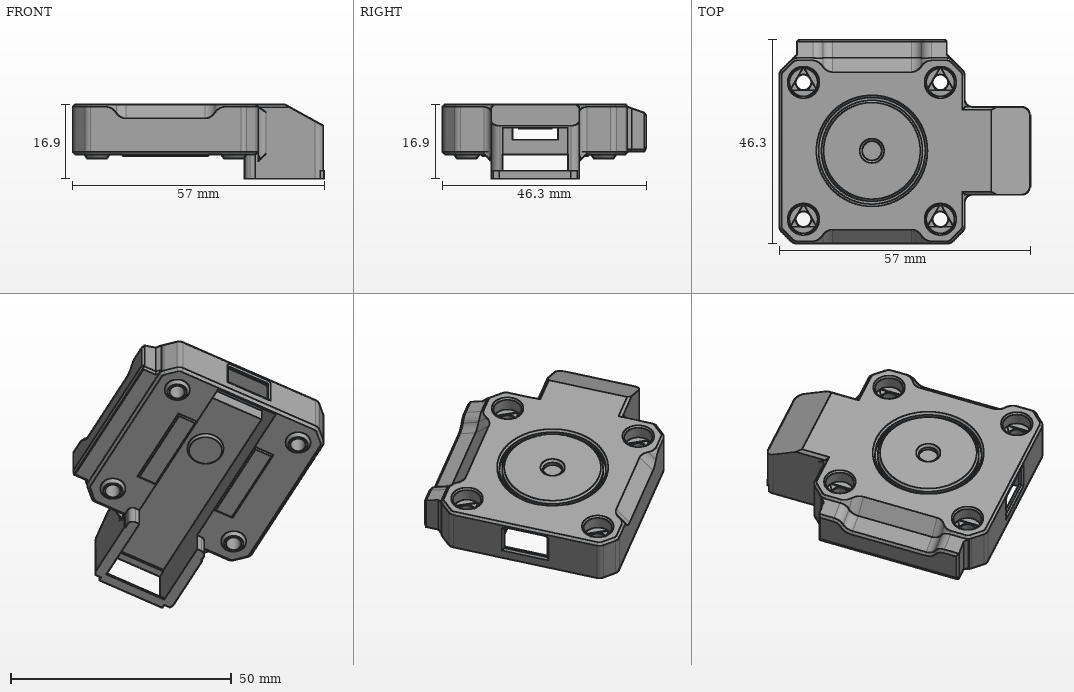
import cadquery as cq
import math

height = 16.9
plate_bottom = 5.5

plate_half = 21.05
corner_cut = 3.25
corner_radius = 1.8
top_chamfer = 0.55
bottom_chamfer = 0.7

notch_depth = 3.2
notch_floor_half = 8.95
notch_top_half = 13.4

ledge_half = 17.0
ledge_reach = 4.15
ledge_drop = 1.5
ledge_chamfer = 0.5
ledge_embed = 0.15

screw_pitch = 31.0
screw_diameter = 3.5
counterbore_diameter = 6.4
counterbore_depth = 3.4
counterbore_chamfer = 0.4
bridge_step = 0.2
pad_top_diameter = 5.7
pad_diameter = 4.4
pad_height = 0.9

recess_diameter = 24.2
disc_diameter = 22.9
disc_thickness = 1.35
disc_chamfer = 0.5
center_hole_diameter = 4.4
center_hole_chamfer = 0.55

arm_half = 10.0
arm_start = 17.9
neck_half = 9.75
neck_end = 20.3
arm_end = 35.8
arm_end_radius = 1.95
arm_start_radius = 1.25
arm_chamfer = 0.7
slope_start = 27.1
slope_angle = 29.0
blend_radius = 1.7
blend_below_plate = 1.5
blend_top_taper = 1.2

lip_end = 36.0
lip_half = 8.1
lip_thickness = 0.9
lip_height = 1.9
lip_foot_height = 0.55

cavity_half = 7.4
window_wall = 1.0
end_wall = 1.7
ceiling = 12.2
opening_top = 11.6
tall_end = -13.1
tall_ceiling = 15.6

window_half = 5.15
window_floor = 8.9
window_top = 15.4
window_radius = 0.55
window_chamfer = 0.45

boss_diameter = 8.2
boss_tip_diameter = 7.4
boss_height = 0.8

strip_half_length = 9.85
strip_outer = 12.2
strip_height = 0.4
strip_chamfer = 0.35

screw_points = [(sx * screw_pitch / 2, sy * screw_pitch / 2) for sx in (-1, 1) for sy in (-1, 1)]


def box(x_range, y_range, z_range):
    sizes = [high - low for low, high in (x_range, y_range, z_range)]
    corner = (x_range[0], y_range[0], z_range[0])
    return cq.Workplane("XY").box(*sizes, centered=False).translate(corner)


def cone(bottom_diameter, top_diameter, bottom_z, cone_height):
    return (
        cq.Workplane("XY").workplane(offset=bottom_z).circle(bottom_diameter / 2)
        .workplane(offset=cone_height).circle(top_diameter / 2).loft()
    )


def notch_cutter(floor_y, floor_z, slope, rise):
    """Cutter for a notch on the -Y side: its floor passes through (floor_y, floor_z), falls
    outward by `slope` degrees, and rises by `rise` square to the floor through two tangent arcs."""
    width = notch_top_half - notch_floor_half
    turn = 2 * math.atan(rise / width)
    radius = width / (2 * math.sin(turn))
    half_turn_x = radius * math.sin(turn / 2)
    half_turn_y = radius * (1 - math.cos(turn / 2))
    middle = (notch_floor_half + notch_top_half) / 2
    above = rise + notch_depth
    falling = math.radians(slope)
    plane = cq.Plane(
        origin=(0, floor_y, floor_z),
        xDir=(1, 0, 0),
        normal=(0, -math.cos(falling), -math.sin(falling)),
    )
    return (
        cq.Workplane(plane)
        .moveTo(-notch_floor_half, 0)
        .lineTo(notch_floor_half, 0)
        .threePointArc((notch_floor_half + half_turn_x, half_turn_y), (middle, rise / 2))
        .threePointArc((notch_top_half - half_turn_x, rise - half_turn_y), (notch_top_half, rise))
        .lineTo(notch_top_half, above)
        .lineTo(-notch_top_half, above)
        .lineTo(-notch_top_half, rise)
        .threePointArc((-notch_top_half + half_turn_x, rise - half_turn_y), (-middle, rise / 2))
        .threePointArc((-notch_floor_half - half_turn_x, half_turn_y), (-notch_floor_half, 0))
        .close()
        .extrude(plate_half / 2, both=True)
    )


def make_plate():
    plate = (
        cq.Workplane("XY").workplane(offset=plate_bottom)
        .rect(2 * plate_half, 2 * plate_half).extrude(height - plate_bottom)
        .edges("|Z").chamfer(corner_cut)
        .edges("|Z").fillet(corner_radius)
        .faces(">Z").chamfer(top_chamfer)
        .faces("<Z").chamfer(bottom_chamfer)
    )
    rise = (notch_depth - top_chamfer) / math.sqrt(2)
    notch = notch_cutter(notch_depth - plate_half, height, 45, rise)
    return plate.cut(notch).cut(notch.mirror("XZ"))


def make_ledge():
    bottom = plate_bottom + bottom_chamfer
    root_top = height - top_chamfer
    tip_y = plate_half + ledge_reach
    root_y = plate_half - ledge_embed
    slope = math.degrees(math.atan2(ledge_drop, ledge_reach))
    root_z = root_top + (plate_half - root_y) * ledge_drop / ledge_reach
    profile = (
        cq.Workplane("YZ")
        .polyline([(root_y, bottom), (tip_y, bottom), (tip_y, root_top - ledge_drop), (root_y, root_z)])
        .close()
        .extrude(plate_half, both=True)
    )
    corner_sum = 2 * plate_half - corner_cut
    flare_y = corner_sum - ledge_half
    root_half = corner_sum - root_y
    outline = (
        cq.Workplane("XY").workplane(offset=bottom)
        .polyline([
            (-root_half, root_y),
            (root_half, root_y),
            (ledge_half, flare_y),
            (ledge_half, tip_y),
            (-ledge_half, tip_y),
            (-ledge_half, flare_y),
        ])
        .close()
        .extrude(height - bottom)
        .faces("<Z").edges("not <Y").chamfer(ledge_chamfer)
    )
    floor_drop = notch_depth - top_chamfer
    rise = floor_drop * math.cos(math.radians(slope))
    notch = notch_cutter(-plate_half, root_top - floor_drop, slope, rise).mirror("XZ")
    ledge = profile.intersect(outline).cut(notch)
    return ledge.faces(">Y").chamfer(ledge_chamfer)


def make_blend():
    """Concave fillet between the -Y side of the arm and the +X side of the plate."""
    corner = (plate_half, -arm_half)
    low = plate_bottom - blend_below_plate
    top = height - top_chamfer
    far_x = plate_half + blend_radius
    far_y = -arm_half - blend_radius
    offset = blend_radius * (1 - math.sqrt(0.5))
    blend = (
        cq.Workplane("XY").workplane(offset=low)
        .moveTo(*corner)
        .lineTo(far_x, -arm_half)
        .threePointArc((plate_half + offset, -arm_half - offset), (plate_half, far_y))
        .close()
        .extrude(top - low)
    )
    lower_taper = (
        cq.Workplane("XZ")
        .polyline([(plate_half, low), (far_x, low), (far_x, low + blend_radius)])
        .close()
        .extrude(-far_y + blend_radius)
    )
    side_taper = (
        cq.Workplane("YZ")
        .polyline([(-arm_half, low), (far_y, low), (far_y, low + blend_radius)])
        .close()
        .extrude(far_x)
    )
    upper_taper = (
        cq.Workplane("XZ")
        .polyline([(plate_half, top), (far_x, top), (far_x, top - blend_top_taper)])
        .close()
        .extrude(-far_y + blend_radius)
    )
    return blend.cut(lower_taper).cut(side_taper).cut(upper_taper)


def make_arm():
    arm = (
        box((neck_end, arm_end), (-arm_half, arm_half), (0, height))
        .edges("|Z and >X").fillet(arm_end_radius)
        .faces(">Z").edges("|X").chamfer(arm_chamfer)
    )
    neck = (
        box((arm_start, neck_end), (-neck_half, neck_half), (0, height - top_chamfer))
        .edges("|Z and <X").fillet(arm_start_radius)
    )
    fall = (lip_end - slope_start) * math.tan(math.radians(slope_angle))
    roof_cut = (
        cq.Workplane("XZ")
        .polyline([(slope_start, height), (lip_end, height), (lip_end, height - fall)])
        .close()
        .extrude(arm_half, both=True)
    )
    blend = make_blend()
    return arm.union(neck).cut(roof_cut).union(blend).union(blend.mirror("XZ"))


def make_lip():
    lip_start = lip_end - lip_thickness
    slope_run = lip_height - lip_foot_height
    return (
        cq.Workplane("XZ")
        .polyline([
            (lip_start - slope_run, 0),
            (lip_end, 0),
            (lip_end, lip_height),
            (lip_start, lip_height),
            (lip_start - slope_run, lip_foot_height),
        ])
        .close()
        .extrude(lip_half, both=True)
    )


def make_cavity():
    inner_start = window_wall - plate_half
    inner_end = arm_end - end_wall
    across = (-cavity_half, cavity_half)
    lower = box((inner_start, inner_end), across, (0, ceiling))
    end_opening = box((inner_end, lip_end), across, (0, opening_top))
    tall = box((inner_start, tall_end), across, (plate_bottom, tall_ceiling))
    return lower.union(end_opening).union(tall)


def window_outline(margin):
    """Outline on the outer face of the -X wall, with its two upper corners rounded."""
    half = window_half + margin
    low = window_floor - margin
    high = window_top + margin
    radius = window_radius + margin
    return (
        cq.Workplane("YZ").workplane(offset=-plate_half)
        .moveTo(-half, low)
        .lineTo(half, low)
        .lineTo(half, high - radius)
        .radiusArc((half - radius, high), -radius)
        .lineTo(radius - half, high)
        .radiusArc((-half, high - radius), -radius)
        .close()
    )


def make_window():
    opening = window_outline(0).extrude(window_wall)
    flare = window_outline(window_chamfer).extrude(window_chamfer, taper=45)
    return opening.union(flare)


def make_strip():
    return (
        box((-strip_half_length, strip_half_length), (cavity_half, strip_outer),
            (plate_bottom - strip_height, plate_bottom))
        .faces("<Z").chamfer(strip_chamfer)
    )


def make_screw_hole():
    """Counterbore on a triangle and a hexagon step, each tangent to the screw hole."""
    floor = height - counterbore_depth
    triangle_floor = floor - bridge_step
    hexagon_floor = triangle_floor - bridge_step
    bore = cq.Workplane("XY").workplane(offset=hexagon_floor).circle(counterbore_diameter / 2)
    triangle = (
        cq.Workplane("XY").workplane(offset=triangle_floor)
        .polygon(3, 2 * screw_diameter).extrude(bridge_step)
        .rotate((0, 0, 0), (0, 0, 1), 90)
        .intersect(bore.extrude(counterbore_depth))
    )
    hexagon = (
        cq.Workplane("XY").workplane(offset=hexagon_floor)
        .polygon(6, screw_diameter, circumscribed=True).extrude(bridge_step)
        .rotate((0, 0, 0), (0, 0, 1), 30)
    )
    counterbore = (
        cq.Workplane("XY").workplane(offset=floor)
        .circle(counterbore_diameter / 2).extrude(counterbore_depth)
    )
    mouth = cone(counterbore_diameter, counterbore_diameter + 2 * counterbore_chamfer,
                 height - counterbore_chamfer, counterbore_chamfer)
    hole = cq.Workplane("XY").circle(screw_diameter / 2).extrude(height)
    return hole.union(hexagon).union(triangle).union(counterbore).union(mouth)


def make_recess():
    recess = (
        cq.Workplane("XY").workplane(offset=height - disc_thickness)
        .circle(recess_diameter / 2).extrude(disc_thickness)
    )
    mouth = cone(recess_diameter, recess_diameter + 2 * disc_chamfer, height - disc_chamfer, disc_chamfer)
    return recess.union(mouth)


def make_housing():
    body = make_plate().union(make_ledge()).union(make_arm())
    notch = box((lip_end - lip_thickness, lip_end), (-arm_half, arm_half), (0, lip_height))
    body = body.cut(notch).cut(make_cavity()).union(make_lip())
    body = body.cut(make_window())
    strip = make_strip()
    body = body.union(strip).union(strip.mirror("XZ"))
    body = body.union(cone(boss_tip_diameter, boss_diameter, ceiling - boss_height, boss_height))
    pad = cone(pad_diameter, pad_top_diameter, plate_bottom - pad_height, pad_height)
    screw_hole = make_screw_hole()
    for x, y in screw_points:
        body = body.union(pad.translate((x, y, 0))).cut(screw_hole.translate((x, y, 0)))
    return body.cut(make_recess())


def make_disc():
    disc = (
        cq.Workplane("XY").workplane(offset=height - disc_thickness)
        .circle(disc_diameter / 2).extrude(disc_thickness)
        .faces(">Z").chamfer(disc_chamfer)
    )
    return (
        disc.faces(">Z").workplane(origin=(0, 0, height)).hole(center_hole_diameter)
        .cut(cone(center_hole_diameter, center_hole_diameter + 2 * center_hole_chamfer,
                  height - center_hole_chamfer, center_hole_chamfer))
    )


housing = make_housing()
disc = make_disc()
result = cq.Compound.makeCompound([housing.val(), disc.val()])